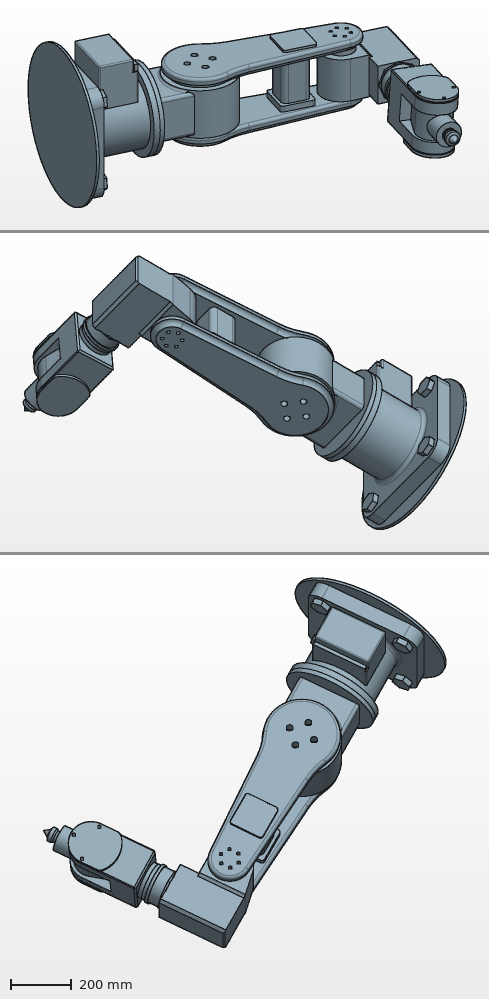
import cadquery as cq
import math


PLATE_RADIUS = 278.0
PLATE_TOP = 10.0
FOOT_SIDE = 402.0
FOOT_CORNER = 50.0
FOOT_TOP = 61.0
BOLT_PITCH = 303.0
BOLT_RADIUS = 34.0
BOLT_HEAD = 20.0
BOLT_TURN = 20
COLUMN_RADIUS = 131.0
COLUMN_FILLET = 13.0
RING_RADIUS = 160.0
RING_BOTTOM = 259.0
RING_TOP = 281.0

BOX_WIDTH = 200.0
BOX_START = 88.0
BOX_STEP = 213.0
BOX_END = 230.0
BOX_TOP = 246.0
BOX_LEDGE = 199.0
BOX_RIDGE_TOP = 224.0
BOX_RIDGE_THICKNESS = 12.0
BOX_EDGE = 5.0

TURN_DISC_TOP = 297.0
SHOULDER_Y = 495.0
BARREL_RADIUS = 131.0
BARREL_TOP = 89.0
BARREL_BOTTOM = -88.0
NECK_WIDTH = 223.0
NECK_HEIGHT = 161.0
NECK_EDGE = 12.0
NECK_BLEND = 7.0

ARM_LENGTH = 505.0
ARM_LEAN = 0.5
ARM_SHOULDER_RADIUS = 127.0
ARM_WAIST_RADIUS = 104.0
ARM_ELBOW_RADIUS = 72.0
ARM_BLEND_RADIUS = 245
ARM_TOP = 131.0
ARM_STEP = 18.0
ARM_UNDERCUT_RADIUS = 17.0
ARM_EDGE = 11.0
SHOULDER_HOLES = 4
SHOULDER_HOLE_CIRCLE = 45.0
SHOULDER_HOLE_DIAMETER = 22.0
ELBOW_HOLES = 6
ELBOW_HOLE_CIRCLE = 33.0
ELBOW_HOLE_DIAMETER = 11.0
PAD_SIDE = 121.0
PAD_HEIGHT = 9.0
PAD_CORNER = 10.0
PAD_DISTANCE = 335.0
POST_SIDE = 102.0
POST_CORNER = 20.0
POST_DISTANCE = 327.0
POST_FOOT_SIDE = 125.0
POST_FOOT_HEIGHT = 22.0

HUB_RADIUS = 78.0
HUB_TOP = 68.0
BOSS_RADIUS = 50.0
ELBOW_BACK = -88.0
BLOCK_FRONT = 153.0
BLOCK_SIDE_Y = 1068.0
BLOCK_FAR_Y = 1218.0
BLOCK_INSET = 7.0
BLOCK_CHAMFER = 11.0
BLOCK_CORNER = 5.0
COLLAR_FRONT = 161.0
COLLAR_SIDES = 8
COLLAR_WIDTH = 132.0
TUBE_RADIUS = 65.0
TUBE_END = 200.0

FOREARM_Y = 1141.0
FOREARM_Z = -9.2
ROLL = -4.2
FOREARM_RING_RADIUS = 70.0
FOREARM_RING_END = 212.0
FOREARM_GROOVE = 225.0
FOREARM_NECK_RADIUS = 64.0
FORK_BACK = 240.0
FORK_WIDTH = 148.0
FORK_HEIGHT = 193.0
FORK_BACK_CHAMFER = 6.0
FORK_EDGE = 4.0
WRIST_X = 443.0
COVER_HEIGHT = 11.0
COVER_RADIUS = 103.0
COVER_CORNER = 25.0
COVER_HOLES = 3
COVER_HOLE_CIRCLE = 62.0
COVER_HOLE_DIAMETER = 11.0
COVER_HOLE_DEPTH = 6.0
SLOT_BACK = 335.0
SLOT_HEIGHT = 100.0

WRIST_BACK = 341.0
WRIST_RADIUS = 62.0
WRIST_TAPER = 16
NOSE_RADIUS = 45.0
NOSE_END = 563.0
FLANGE_RADIUS = 23.0
FLANGE_END = 567.0
TOOL_PROFILE = [
    (FLANGE_END, 21.0),
    (576.0, 21.0),
    (582.0, 26.0),
    (595.0, 26.0),
    (599.0, 16.0),
    (622.0, 0),
]

ALONG_X = cq.Vector(1, 0, 0)
ALONG_Y = cq.Vector(0, 1, 0)


def y_cylinder(radius, start, end):
    """Cylinder on the base axis."""
    return cq.Workplane(cq.Solid.makeCylinder(radius, end - start, cq.Vector(0, start, 0), ALONG_Y))


def x_cylinder(radius, start, end):
    """Cylinder on the forearm axis."""
    foot = cq.Vector(start, FOREARM_Y, FOREARM_Z)
    return cq.Workplane(cq.Solid.makeCylinder(radius, end - start, foot, ALONG_X))


def z_cylinder(radius, x, y, bottom, top):
    return cq.Workplane("XY", origin=(x, y, bottom)).circle(radius).extrude(top - bottom)


def block(x_range, y_range, z_range):
    """Rectangular block between the given limits."""
    size = [end - start for start, end in (x_range, y_range, z_range)]
    corner = (x_range[0], y_range[0], z_range[0])
    return cq.Workplane("XY", origin=corner).box(*size, centered=False)


def rolled(body):
    """Turn a body about the forearm axis."""
    end = (1, FOREARM_Y, FOREARM_Z)
    return body.rotate((0, FOREARM_Y, FOREARM_Z), end, ROLL)


def make_floor_plate():
    return y_cylinder(PLATE_RADIUS, 0, PLATE_TOP)


def make_bolt_heads():
    heads = cq.Workplane("XY")
    for x_side in (-1, 1):
        for z_side in (-1, 1):
            turn = 0 if (x_side, z_side) == (-1, 1) else BOLT_TURN
            heads = heads.union(
                cq.Workplane("XZ")
                .polygon(6, 2 * BOLT_RADIUS)
                .extrude(-BOLT_HEAD)
                .rotate((0, 0, 0), (0, 1, 0), turn)
                .translate((x_side * BOLT_PITCH / 2, FOOT_TOP, z_side * BOLT_PITCH / 2))
            )
    return heads


def make_connector_box():
    half = BOX_WIDTH / 2
    across = (-half, half)
    ridge_across = (BOX_EDGE - half, half - BOX_EDGE)
    tall = block(across, (BOX_START, BOX_STEP), (0, BOX_TOP)).edges("|Z or >Z").fillet(BOX_EDGE)
    low = block(across, (BOX_START, BOX_END), (0, BOX_LEDGE)).edges("|Z").fillet(BOX_EDGE)
    ridge = block(ridge_across, (BOX_END - BOX_RIDGE_THICKNESS, BOX_END), (0, BOX_RIDGE_TOP))
    return tall.union(low).union(ridge)


def make_base():
    foot = (
        cq.Workplane("XZ", origin=(0, PLATE_TOP, 0))
        .rect(FOOT_SIDE, FOOT_SIDE)
        .extrude(PLATE_TOP - FOOT_TOP)
        .edges("|Y")
        .fillet(FOOT_CORNER)
    )
    column = y_cylinder(COLUMN_RADIUS, FOOT_TOP, RING_BOTTOM)
    base = foot.union(column)
    foot_face = base.faces("|Y").faces(">Y[1]").val()
    base = base.newObject(foot_face.innerWires()[0].Edges()).fillet(COLUMN_FILLET)
    base = base.union(y_cylinder(RING_RADIUS, RING_BOTTOM, RING_TOP))
    return base.union(make_bolt_heads()).union(make_connector_box())


def make_neck_blend(z_side):
    """Concave blend from the barrel onto the upper (+1) or lower (-1) flat of the neck."""
    flat = z_side * NECK_HEIGHT / 2
    wall_end = flat + z_side * NECK_BLEND
    foot = BARREL_RADIUS + NECK_BLEND
    offset = NECK_BLEND * math.sin(math.radians(45))
    flare = (
        cq.Workplane("XZ", origin=(0, SHOULDER_Y, 0))
        .moveTo(0, flat)
        .lineTo(foot, flat)
        .threePointArc((foot - offset, wall_end - z_side * offset), (BARREL_RADIUS, wall_end))
        .lineTo(0, wall_end)
        .close()
        .revolve(360, (0, 0, 0), (0, 1, 0))
    )
    flat_half = NECK_WIDTH / 2 - NECK_EDGE
    over_neck = block((-flat_half, flat_half), (TURN_DISC_TOP, SHOULDER_Y), (BARREL_BOTTOM, BARREL_TOP))
    return flare.intersect(over_neck)


def make_turret():
    neck = (
        cq.Workplane("XZ", origin=(0, TURN_DISC_TOP, 0))
        .rect(NECK_WIDTH, NECK_HEIGHT)
        .extrude(TURN_DISC_TOP - SHOULDER_Y)
        .edges("|Y")
        .fillet(NECK_EDGE)
    )
    barrel = z_cylinder(BARREL_RADIUS, 0, SHOULDER_Y, BARREL_BOTTOM, BARREL_TOP)
    turret = y_cylinder(RING_RADIUS, RING_TOP, TURN_DISC_TOP).union(neck).union(barrel)
    return turret.union(make_neck_blend(1)).union(make_neck_blend(-1))


def arm_slab(inset, bottom, top):
    """Slab of the arm outline, shrunk all round by the inset, with the shoulder axis at the origin."""
    shoulder = ARM_SHOULDER_RADIUS - inset
    waist = ARM_WAIST_RADIUS - inset
    elbow = ARM_ELBOW_RADIUS - inset
    taper = math.asin((waist - elbow) / ARM_LENGTH)
    across, along = math.cos(taper), math.sin(taper)
    elbow_y = ARM_LENGTH + elbow * along
    plane = cq.Workplane("XY", origin=(0, 0, bottom))
    sides = (
        plane.moveTo(-waist * across, waist * along)
        .lineTo(waist * across, waist * along)
        .lineTo(elbow * across, elbow_y)
        .threePointArc((0, ARM_LENGTH + elbow), (-elbow * across, elbow_y))
        .close()
        .extrude(top - bottom)
    )
    disc = plane.circle(shoulder).extrude(top - bottom)
    waist_corners = cq.selectors.BoxSelector((-waist, waist * along, bottom), (waist, shoulder, top))
    return sides.union(disc).edges("|Z").edges(waist_corners).fillet(ARM_BLEND_RADIUS + inset)


def make_arm_plate(bottom, top):
    """Arm plate with a rounded upper edge and a concave undercut all round."""
    step = bottom + ARM_STEP
    rim = arm_slab(0, step, top).faces(">Z").edges().fillet(ARM_EDGE)
    plate = rim.union(arm_slab(ARM_STEP, bottom, step))
    underside = plate.faces("|Z").faces("<Z[1]").val()
    inner_corner = underside.innerWires()[0].Edges()
    plate = plate.newObject(inner_corner).fillet(ARM_UNDERCUT_RADIUS)
    shoulder_holes = (
        cq.Workplane("XY", origin=(0, 0, bottom))
        .polarArray(SHOULDER_HOLE_CIRCLE, 0, 360, SHOULDER_HOLES)
        .circle(SHOULDER_HOLE_DIAMETER / 2)
        .extrude(top - bottom)
    )
    elbow_holes = (
        cq.Workplane("XY", origin=(0, ARM_LENGTH, bottom))
        .polarArray(ELBOW_HOLE_CIRCLE, 0, 360, ELBOW_HOLES)
        .circle(ELBOW_HOLE_DIAMETER / 2)
        .extrude(top - bottom)
    )
    return plate.cut(shoulder_holes).cut(elbow_holes)


def rounded_post(side, corner, distance, bottom, top):
    """Square upright with rounded corners, at a distance along the arm."""
    post = cq.Workplane("XY", origin=(0, distance, bottom)).rect(side, side).extrude(top - bottom)
    return post.edges("|Z").fillet(corner)


def make_upper_arm():
    thickness = ARM_TOP - BARREL_TOP
    foot_top = BARREL_BOTTOM + POST_FOOT_HEIGHT
    arm = (
        make_arm_plate(BARREL_TOP, ARM_TOP)
        .union(make_arm_plate(BARREL_BOTTOM - thickness, BARREL_BOTTOM))
        .union(rounded_post(POST_SIDE, POST_CORNER, POST_DISTANCE, BARREL_BOTTOM, BARREL_TOP))
        .union(rounded_post(POST_FOOT_SIDE, PAD_CORNER, POST_DISTANCE, BARREL_BOTTOM, foot_top))
        .union(rounded_post(PAD_SIDE, PAD_CORNER, PAD_DISTANCE, ARM_TOP, ARM_TOP + PAD_HEIGHT))
    )
    return arm.rotate((0, 0, 0), (0, 0, 1), -ARM_LEAN).translate((0, SHOULDER_Y, 0))


def make_elbow():
    lean = math.radians(ARM_LEAN)
    hub_x = ARM_LENGTH * math.sin(lean)
    hub_y = SHOULDER_Y + ARM_LENGTH * math.cos(lean)

    back_x, back_y = ELBOW_BACK - hub_x, BLOCK_SIDE_Y - hub_y
    tangent = math.atan2(back_y, back_x) + math.acos(HUB_RADIUS / math.hypot(back_x, back_y))
    hub_right = hub_x + HUB_RADIUS
    web_end = BLOCK_SIDE_Y + BLOCK_CHAMFER
    hub = (
        cq.Workplane("XY", origin=(0, 0, BARREL_BOTTOM))
        .moveTo(ELBOW_BACK, web_end)
        .lineTo(ELBOW_BACK, BLOCK_SIDE_Y)
        .lineTo(hub_x + HUB_RADIUS * math.cos(tangent), hub_y + HUB_RADIUS * math.sin(tangent))
        .threePointArc((hub_x, hub_y - HUB_RADIUS), (hub_right, hub_y))
        .lineTo(hub_right, web_end)
        .close()
        .extrude(HUB_TOP - BARREL_BOTTOM)
        .faces(">Y")
        .edges("|X")
        .chamfer(BLOCK_INSET, BLOCK_CHAMFER)
    )
    boss = z_cylinder(BOSS_RADIUS, hub_x, hub_y, HUB_TOP, BARREL_TOP)
    body = (
        block(
            (ELBOW_BACK, BLOCK_FRONT),
            (BLOCK_SIDE_Y, BLOCK_FAR_Y),
            (BARREL_BOTTOM + BLOCK_INSET, HUB_TOP - BLOCK_INSET),
        )
        .faces(">Y")
        .edges("|X")
        .chamfer(BLOCK_CHAMFER)
        .edges("<X and >Y")
        .chamfer(BLOCK_CORNER)
    )
    collar = (
        cq.Workplane("YZ", origin=(BLOCK_FRONT, FOREARM_Y, FOREARM_Z))
        .transformed(rotate=(0, 0, 180 / COLLAR_SIDES))
        .polygon(COLLAR_SIDES, COLLAR_WIDTH, circumscribed=True)
        .extrude(COLLAR_FRONT - BLOCK_FRONT)
    )
    tube = x_cylinder(TUBE_RADIUS, BLOCK_FRONT, TUBE_END)
    return hub.union(boss).union(body).union(collar).union(tube)


def fork_outline(back, bottom, height):
    """Plate as wide as the fork, from a square back end to a round nose."""
    half = FORK_WIDTH / 2
    return (
        cq.Workplane("XY", origin=(WRIST_X, FOREARM_Y, bottom))
        .moveTo(back - WRIST_X, -half)
        .lineTo(0, -half)
        .threePointArc((half, 0), (0, half))
        .lineTo(back - WRIST_X, half)
        .close()
        .extrude(height)
    )


def make_fork_cover(bottom):
    """Cover flush with the nose of the fork, with a shallow rounded back end."""
    back = z_cylinder(COVER_RADIUS, WRIST_X, FOREARM_Y, bottom, bottom + COVER_HEIGHT)
    cover = fork_outline(WRIST_X - COVER_RADIUS, bottom, COVER_HEIGHT).intersect(back)
    return cover.edges("|Z").edges("<X").fillet(COVER_CORNER)


def make_forearm():
    fork_bottom = FOREARM_Z - FORK_HEIGHT / 2
    fork_top = FOREARM_Z + FORK_HEIGHT / 2
    fork = (
        fork_outline(FORK_BACK, fork_bottom, FORK_HEIGHT)
        .faces("<X")
        .edges()
        .chamfer(FORK_BACK_CHAMFER)
        .faces("<Z or >Z")
        .edges("|X")
        .chamfer(FORK_EDGE)
    )
    slot = block(
        (SLOT_BACK, WRIST_X + FORK_WIDTH),
        (FOREARM_Y - FORK_WIDTH, FOREARM_Y + FORK_WIDTH),
        (FOREARM_Z - SLOT_HEIGHT / 2, FOREARM_Z + SLOT_HEIGHT / 2),
    )
    holes = (
        cq.Workplane("XY", origin=(WRIST_X, FOREARM_Y, fork_top + COVER_HEIGHT - COVER_HOLE_DEPTH))
        .polarArray(COVER_HOLE_CIRCLE, -90, 180, COVER_HOLES)
        .circle(COVER_HOLE_DIAMETER / 2)
        .extrude(COVER_HOLE_DEPTH)
    )
    forearm = (
        fork.union(make_fork_cover(fork_top))
        .union(make_fork_cover(fork_bottom - COVER_HEIGHT))
        .cut(slot)
        .cut(holes)
        .union(x_cylinder(FOREARM_RING_RADIUS, TUBE_END, FOREARM_RING_END))
        .union(x_cylinder(TUBE_RADIUS, FOREARM_RING_END, FOREARM_GROOVE))
        .union(x_cylinder(FOREARM_NECK_RADIUS, FOREARM_GROOVE, FORK_BACK))
    )
    return rolled(forearm)


def make_wrist():
    taper = math.radians(WRIST_TAPER)
    side_x = -WRIST_RADIUS * math.sin(taper)
    side_y = WRIST_RADIUS * math.cos(taper)
    back_x = WRIST_BACK - WRIST_X
    back_y = side_y - (side_x - back_x) * math.tan(taper)
    knuckle = (
        cq.Workplane("XY", origin=(WRIST_X, FOREARM_Y, FOREARM_Z - SLOT_HEIGHT / 2))
        .moveTo(back_x, -back_y)
        .lineTo(side_x, -side_y)
        .threePointArc((WRIST_RADIUS, 0), (side_x, side_y))
        .lineTo(back_x, back_y)
        .close()
        .extrude(SLOT_HEIGHT)
    )
    return rolled(knuckle.union(x_cylinder(NOSE_RADIUS, WRIST_X, NOSE_END)))


def make_tool_flange():
    return x_cylinder(FLANGE_RADIUS, NOSE_END, FLANGE_END)


def make_tool():
    return (
        cq.Workplane("XY", origin=(0, FOREARM_Y, FOREARM_Z))
        .moveTo(FLANGE_END, 0)
        .polyline(TOOL_PROFILE, includeCurrent=True)
        .close()
        .revolve(360, (0, 0, 0), (1, 0, 0))
    )


floor_plate = make_floor_plate()
base = make_base()
turret = make_turret()
upper_arm = make_upper_arm()
elbow = make_elbow()
forearm = make_forearm()
wrist = make_wrist()
tool_flange = make_tool_flange()
tool = make_tool()

result = cq.Compound.makeCompound([
    floor_plate.val(),
    base.val(),
    turret.val(),
    upper_arm.val(),
    elbow.val(),
    forearm.val(),
    wrist.val(),
    tool_flange.val(),
    tool.val(),
])